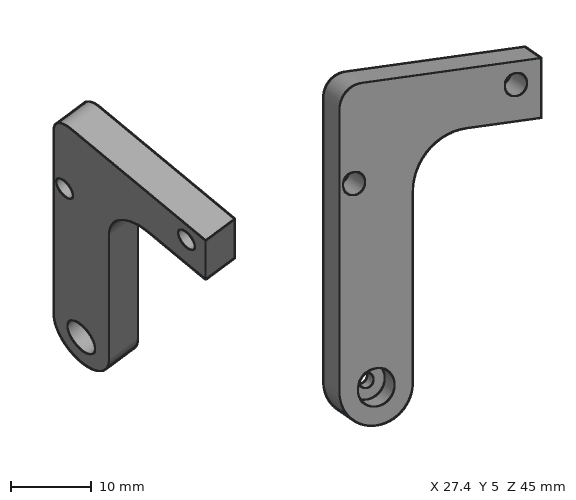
import cadquery as cq

height = 45.0
arm_length = 27.45
thickness = 5.0
leg_width = 10.0
arm_height = 7.85

foot_radius = leg_width / 2
outer_corner_radius = 3.0
inner_corner_radius = 7.25

mount_hole_diameter = 3.0
mount_hole_centers = [
    (24.0, height - 3.0),
    (2.0, height - 13.0),
]

pivot_diameter = 2.0
counterbore_diameter = 5.0
counterbore_depth = 3.0


def make_body():
    """L-shaped plate, front face at Y = 0 and back face at Y = thickness."""
    arm_underside = height - arm_height
    plate = (
        cq.Workplane("XZ")
        .moveTo(0, foot_radius)
        .lineTo(0, height)
        .lineTo(arm_length, height)
        .lineTo(arm_length, arm_underside)
        .lineTo(leg_width, arm_underside)
        .lineTo(leg_width, foot_radius)
        .threePointArc((foot_radius, 0), (0, foot_radius))
        .close()
        .extrude(-thickness)
    )
    plate = plate.edges(cq.NearestToPointSelector((0, thickness / 2, height))).fillet(outer_corner_radius)
    inner_corner = (leg_width, thickness / 2, arm_underside)
    return plate.edges(cq.NearestToPointSelector(inner_corner)).fillet(inner_corner_radius)


def cylinder_from_front(center, diameter, depth):
    """Cylinder that starts on the front face and runs toward +Y."""
    return cq.Workplane("XZ").center(*center).circle(diameter / 2).extrude(-depth)


result = make_body()

for hole_center in mount_hole_centers:
    result = result.cut(cylinder_from_front(hole_center, mount_hole_diameter, thickness))

pivot_center = (foot_radius, foot_radius)
result = result.cut(cylinder_from_front(pivot_center, pivot_diameter, thickness))
result = result.cut(cylinder_from_front(pivot_center, counterbore_diameter, counterbore_depth))